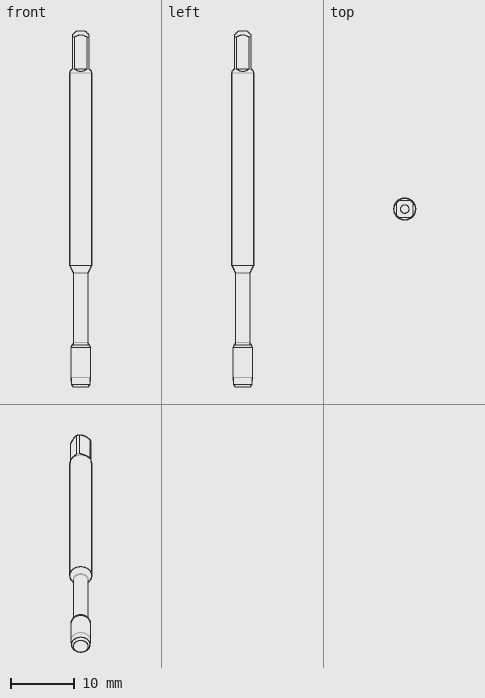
import cadquery as cq
import math

TOTAL_LENGTH = 56.1

TIP_CHAMFER_HEIGHT = 0.45
TIP_TOP = 1.55
HEAD_TOP = 6.2
COLLAR_TOP = 6.7
SHANK_BOTTOM = 19.2
SHANK_TOP = 49.5

TIP_END_DIAMETER = 2.3
TIP_DIAMETER = 2.9
HEAD_DIAMETER = 3.1
COLLAR_DIAMETER = 2.75
NECK_DIAMETER = 2.3
SHANK_DIAMETER = 3.5
DRIVE_DIAMETER = 3.25
DRIVE_END_DIAMETER = 1.35

BLEND_RADIUS = 0.365
NECK_CONE_ANGLE = math.radians(26)
NECK_CONE_HEIGHT = (SHANK_DIAMETER - NECK_DIAMETER) / 2 / math.tan(NECK_CONE_ANGLE)
NECK_CONE_BOTTOM = SHANK_BOTTOM - NECK_CONE_HEIGHT

SHANK_CHAMFER_HEIGHT = 0.6
DRIVE_END_HEIGHT = (DRIVE_DIAMETER - DRIVE_END_DIAMETER) / 2
SQUARE_WIDTH = 2.65
FLAT_BOTTOM = 50.1


def revolve_profile(stations):
    """Turn (diameter, height) stations, listed bottom to top, into a solid about Z."""
    bottom = stations[0][1]
    top = stations[-1][1]
    outline = [(0, bottom)]
    outline += [(diameter / 2, height) for diameter, height in stations]
    outline.append((0, top))
    return cq.Workplane("XZ").polyline(outline).close().revolve(360, (0, 0), (0, 1))


def make_flat_cutter():
    """Material beyond the +X flat, ending below in a 45 degree run-out."""
    flat = SQUARE_WIDTH / 2
    outer = SHANK_DIAMETER
    outline = [
        (flat, FLAT_BOTTOM),
        (flat, TOTAL_LENGTH),
        (outer, TOTAL_LENGTH),
        (outer, FLAT_BOTTOM - (outer - flat)),
    ]
    return cq.Workplane("XZ").polyline(outline).close().extrude(SHANK_DIAMETER, both=True)


def make_flare():
    """Concave flare that widens the foot of the neck to the collar."""
    neck_radius = NECK_DIAMETER / 2
    collar_radius = COLLAR_DIAMETER / 2
    arc_center_x = neck_radius + BLEND_RADIUS
    sweep = math.acos((arc_center_x - collar_radius) / BLEND_RADIUS)
    flare_top = COLLAR_TOP + BLEND_RADIUS * math.sin(sweep)
    arc_middle = (
        arc_center_x - BLEND_RADIUS * math.cos(sweep / 2),
        flare_top - BLEND_RADIUS * math.sin(sweep / 2),
    )
    outline = (
        cq.Workplane("XZ")
        .moveTo(0, COLLAR_TOP)
        .lineTo(collar_radius, COLLAR_TOP)
        .threePointArc(arc_middle, (neck_radius, flare_top))
        .lineTo(0, flare_top)
        .close()
    )
    return outline.revolve(360, (0, 0), (0, 1))


def make_shank():
    """Turned shank with a thin neck below and a square drive on top."""
    shank = revolve_profile([
        (NECK_DIAMETER, COLLAR_TOP),
        (NECK_DIAMETER, NECK_CONE_BOTTOM),
        (SHANK_DIAMETER, SHANK_BOTTOM),
        (SHANK_DIAMETER, SHANK_TOP),
        (DRIVE_DIAMETER, SHANK_TOP + SHANK_CHAMFER_HEIGHT),
        (DRIVE_DIAMETER, TOTAL_LENGTH - DRIVE_END_HEIGHT),
        (DRIVE_END_DIAMETER, TOTAL_LENGTH),
    ])
    shank = shank.edges(cq.NearestToPointSelector((0, 0, NECK_CONE_BOTTOM))).fillet(BLEND_RADIUS)
    shank = shank.union(make_flare())
    cutter = make_flat_cutter()
    for angle in (0, 90, 180, 270):
        shank = shank.cut(cutter.rotate((0, 0, 0), (0, 0, 1), angle))
    return shank


def make_head():
    """Working head with a tapered, chamfered tip, resting against the foot of the neck."""
    return revolve_profile([
        (TIP_END_DIAMETER, 0),
        (TIP_DIAMETER, TIP_CHAMFER_HEIGHT),
        (HEAD_DIAMETER, TIP_TOP),
        (HEAD_DIAMETER, HEAD_TOP),
        (COLLAR_DIAMETER, COLLAR_TOP),
    ])


shank = make_shank()
head = make_head()
result = cq.Compound.makeCompound([shank.val(), head.val()])